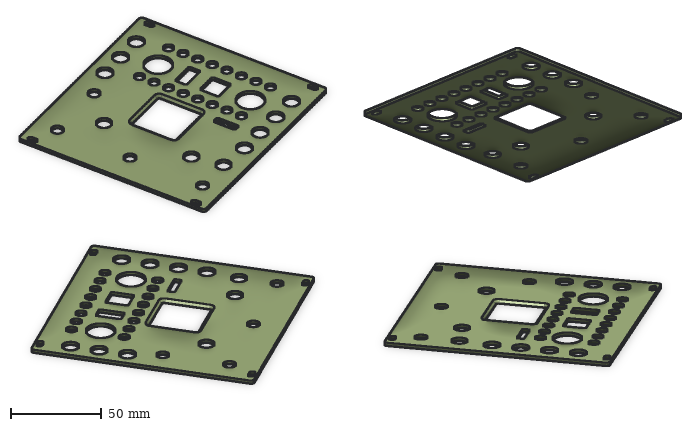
import cadquery as cq

WIDTH = 122.0
HEIGHT = 128.5
THICKNESS = 2.0
CORNER_RADIUS = 1.9

SLOT_LENGTH = 5.9
SLOT_WIDTH = 3.3
SLOT_X = 53.5
SLOT_Y = 61.2

ROW_COUNT = 8
ROW_PITCH = 9.5
ROW_CENTER_X = 0.1
ROW_LEVELS = (48.8, 18.4)
ROW_DIAMETER = 6.2

LARGE_DIAMETER = 16.5
LARGE_SPACING = 60.3
LARGE_CENTER_X = 0.1
LARGE_Y = 32.9

SIDE_DIAMETER = 9.5
SIDE_PITCH = 16.5
SIDE_TOP_Y = 44.1
LEFT_COLUMN_X = -51.3
LEFT_COLUMN_COUNT = 3
RIGHT_COLUMN_X = 50.1
RIGHT_COLUMN_COUNT = 4

MEDIUM_DIAMETER = 9.0
MEDIUM_CENTERS = [(-27.8, -27.5), (29.3, -27.5), (48.3, -24.3)]
LOWER_DIAMETER = 7.2
LOWER_LEFT_X = -46.5
LOWER_RIGHT_X = 48.3
LOWER_Y = -46.3
LOWER_CENTERS = [
    (LOWER_LEFT_X, -7.7),
    (LOWER_LEFT_X, LOWER_Y),
    (0.9, LOWER_Y),
    (LOWER_RIGHT_X, LOWER_Y),
]

WINDOWS = [
    (-10.8, 33.0, 7.5, 14.8),
    (7.5, 32.8, 12.2, 13.2),
    (30.1, 7.7, 14.3, 4.2),
]
WINDOW_RADIUS = 1.0

BEVELED_CENTER = (-1.2, -4.5)
BEVELED_SIZE = 28.4
BEVELED_RADIUS = 1.3
BEVEL = 1.8


def cut_holes(body, centers, diameter):
    """Drill straight through the panel at each center."""
    drills = cq.Workplane("XY").pushPoints(centers).circle(diameter / 2).extrude(THICKNESS)
    return body.cut(drills)


def evenly_spaced(center, pitch, count):
    """Positions of count items, pitch apart, balanced about center."""
    return [center + (i - (count - 1) / 2) * pitch for i in range(count)]


def side_column(x, count):
    """Hole centers going down from the top of an edge column."""
    return [(x, SIDE_TOP_Y - i * SIDE_PITCH) for i in range(count)]


def window_cutter(x, y, width, height, radius):
    """Full-depth block with rounded vertical edges."""
    block = cq.Workplane("XY").center(x, y).rect(width, height).extrude(THICKNESS)
    return block.edges("|Z").fillet(radius)


panel = cq.Workplane("XY").box(WIDTH, HEIGHT, THICKNESS, centered=(True, True, False))
panel = panel.edges("|Z").fillet(CORNER_RADIUS)

slots = (
    cq.Workplane("XY")
    .rarray(2 * SLOT_X, 2 * SLOT_Y, 2, 2)
    .slot2D(SLOT_LENGTH, SLOT_WIDTH)
    .extrude(THICKNESS)
)
panel = panel.cut(slots)

row_xs = evenly_spaced(ROW_CENTER_X, ROW_PITCH, ROW_COUNT)
panel = cut_holes(panel, [(x, y) for y in ROW_LEVELS for x in row_xs], ROW_DIAMETER)
large_xs = evenly_spaced(LARGE_CENTER_X, LARGE_SPACING, 2)
panel = cut_holes(panel, [(x, LARGE_Y) for x in large_xs], LARGE_DIAMETER)
panel = cut_holes(panel, side_column(LEFT_COLUMN_X, LEFT_COLUMN_COUNT), SIDE_DIAMETER)
panel = cut_holes(panel, side_column(RIGHT_COLUMN_X, RIGHT_COLUMN_COUNT), SIDE_DIAMETER)
panel = cut_holes(panel, MEDIUM_CENTERS, MEDIUM_DIAMETER)
panel = cut_holes(panel, LOWER_CENTERS, LOWER_DIAMETER)

for x, y, width, height in WINDOWS:
    panel = panel.cut(window_cutter(x, y, width, height, WINDOW_RADIUS))

front_size = BEVELED_SIZE + 2 * BEVEL
front_radius = BEVELED_RADIUS + BEVEL
opening = window_cutter(*BEVELED_CENTER, BEVELED_SIZE, BEVELED_SIZE, BEVELED_RADIUS)
bevel = (
    cq.Workplane("XY", origin=(*BEVELED_CENTER, THICKNESS))
    .placeSketch(cq.Sketch().rect(front_size, front_size).vertices().fillet(front_radius))
    .extrude(-BEVEL, taper=45)
)
panel = panel.cut(opening).cut(bevel)

result = panel